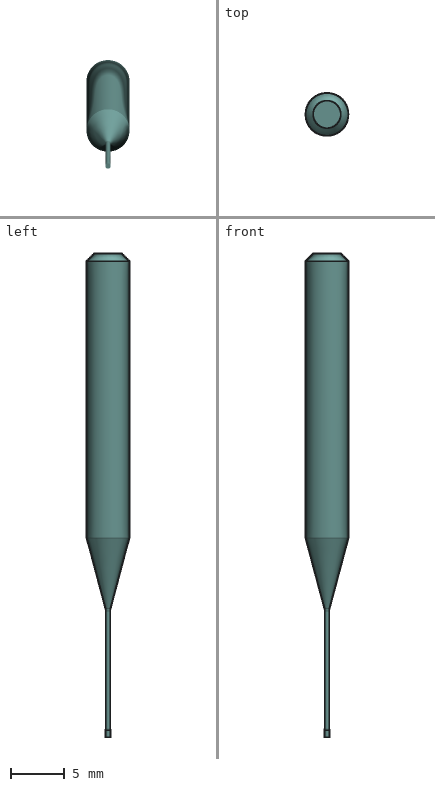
import math

import cadquery as cq

total_length = 45.0
shank_radius = 4.0 / 2
shank_chamfer = 0.7

neck_radius = 0.215
neck_top = 11.75
blend_radius = 1.0
taper_half_angle = math.radians(15)

tip_radius = 0.248
tip_length = 0.68
relief_top = 0.8


def blend_point(angle):
    """Point (radius, height) on the blend where its wall leans by the angle."""
    radius = neck_radius + blend_radius * (1 - math.cos(angle))
    height = neck_top + blend_radius * math.sin(angle)
    return radius, height


def make_holder():
    """Shank, taper, neck and the small relief cone that meets the tip."""
    taper_start = blend_point(taper_half_angle)
    taper_height = (shank_radius - taper_start[0]) / math.tan(taper_half_angle)
    shank_bottom = taper_start[1] + taper_height
    profile = (
        cq.Workplane("XZ")
        .moveTo(0, tip_length)
        .lineTo(tip_radius, tip_length)
        .lineTo(neck_radius, relief_top)
        .lineTo(neck_radius, neck_top)
        .threePointArc(blend_point(taper_half_angle / 2), taper_start)
        .lineTo(shank_radius, shank_bottom)
        .lineTo(shank_radius, total_length - shank_chamfer)
        .lineTo(shank_radius - shank_chamfer, total_length)
        .lineTo(0, total_length)
        .close()
    )
    return profile.revolve(360, (0, 0), (0, 1))


def make_cutting_tip():
    """Plain cylinder below the relief cone."""
    return cq.Workplane("XY").circle(tip_radius).extrude(tip_length)


holder = make_holder()
cutting_tip = make_cutting_tip()

result = cq.Compound.makeCompound([holder.val(), cutting_tip.val()])